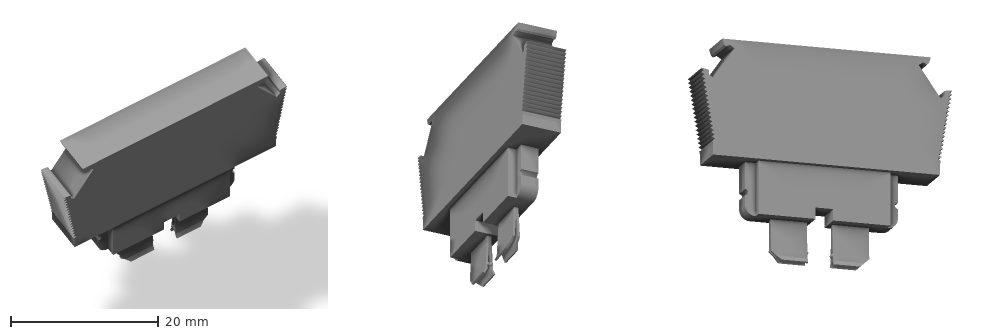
import cadquery as cq
import math


head_width = 5.8
head_top = 16.52
head_base_half = 16.25
lip_corner_half = 14.95
lip_knee = (14.65, 15.7)
lip_toe = (14.4, 15.45)
lip_step = (13.85, 15.75)
lip_root = (13.18, 15.3)
shoulder_foot = (16.3, 10.87)
horn_inner_half = 16.85
horn_inner_low = 11.35
horn_inner_high = 11.9
horn_shoulder = (17.1, 12.02)
horn_crown = (17.9, 12.15)
horn_tip = (18.0, 12.02)

tooth_count = 17
tooth_pitch = 0.598
tooth_lean = 0.1
first_tooth = (17.95, 11.52)
tooth_rise = 0.32
tooth_depth = 0.4
grip_foot = 1.5

stem_half_length = 10.95
stem_height = 7.52
stem_half_thickness = 1.95
stem_split_x = 0.7
stem_corner_radius = 1.5
short_slab_half_length = stem_half_length - stem_corner_radius
latch_groove_radius = 0.45
latch_groove_z = -4.25
slot_width = 2.52
slot_height = 1.62

contact_x = -0.45
contact_half_thickness = 0.32
leaf_thickness = 0.305
prong_outer_y = 7.02
prong_inner_y = 1.85
prong_tip_z = -13.4
prong_chamfer_y = 1.55
prong_chamfer_z = 1.4
split_z = -7.85
flare_z = -12.6
flare_half_width = 0.58
flare_angle = math.radians(25)
bridge_bottom = -4.82
bridge_height = 1.45
bridge_top = bridge_bottom + bridge_height

bump_radius = 0.3
bump_z = -11.85
bump_inset = 0.07
bump_y = prong_inner_y + bump_inset


def mirrored_outline(half_points):
    """Close a right-half outline with its mirror image about Y = 0."""
    left = [(-y, z) for y, z in reversed(half_points)]
    return half_points + left


def extrude_along_x(points, x_start, x_end):
    """Extrude a (Y, Z) outline from x_start to x_end."""
    plane = cq.Workplane("YZ", origin=(x_start, 0, 0))
    return plane.polyline(points).close().extrude(x_end - x_start)


def grip_teeth():
    """Roots and tips of the teeth, from the top down."""
    points = []
    for index in range(tooth_count):
        tip_y = first_tooth[0] - index * tooth_lean
        tip_z = first_tooth[1] - index * tooth_pitch
        points.append((tip_y - tooth_depth, tip_z + tooth_rise))
        points.append((tip_y, tip_z))
    return points


def make_head():
    horn = [
        shoulder_foot,
        (horn_inner_half, horn_inner_low),
        (horn_inner_half, horn_inner_high),
        horn_shoulder,
        horn_crown,
        horn_tip,
    ]
    lip = [(lip_corner_half, head_top), lip_knee, lip_toe, lip_step, lip_root]
    base = [(head_base_half, grip_foot), (head_base_half, 0)]
    outline = mirrored_outline(lip + horn + grip_teeth() + base)
    return extrude_along_x(outline, -head_width / 2, head_width / 2)


def make_stem():
    long_thickness = stem_split_x + stem_half_thickness
    long_slab = (
        cq.Workplane("XY")
        .box(long_thickness, 2 * stem_half_length, stem_height, centered=(False, True, False))
        .translate((-stem_half_thickness, 0, -stem_height))
        .edges("|X and <Z")
        .fillet(stem_corner_radius)
    )
    latch_grooves = (
        cq.Workplane("YZ", origin=(-stem_half_thickness, 0, 0))
        .pushPoints([(side * stem_half_length, latch_groove_z) for side in (-1, 1)])
        .circle(latch_groove_radius)
        .extrude(long_thickness)
    )
    short_slab = (
        cq.Workplane("XY")
        .box(
            stem_half_thickness - stem_split_x,
            2 * short_slab_half_length,
            stem_height,
            centered=(False, True, False),
        )
        .translate((stem_split_x, 0, -stem_height))
    )
    slot = (
        cq.Workplane("XY")
        .box(2 * stem_half_thickness, slot_width, slot_height, centered=(True, True, False))
        .translate((0, 0, -stem_height))
    )
    return long_slab.cut(latch_grooves).union(short_slab).cut(slot)


def make_leaf(side):
    """One leaf on the given side of the contact's middle plane, running the full contact length."""
    flare_inner = flare_half_width - leaf_thickness
    tip_inner = flare_inner + (flare_z - prong_tip_z) * math.tan(flare_angle)
    tip_outer = tip_inner + leaf_thickness * math.cos(flare_angle)
    tip_outer_z = prong_tip_z + leaf_thickness * math.sin(flare_angle)
    points = [
        (0, bridge_top),
        (contact_half_thickness, bridge_top),
        (contact_half_thickness, split_z),
        (flare_half_width, flare_z),
        (tip_outer, tip_outer_z),
        (tip_inner, prong_tip_z),
        (flare_inner, flare_z),
        (0, split_z),
    ]
    placed = [(contact_x + side * x, z) for x, z in points]
    return (
        cq.Workplane("XZ")
        .polyline(placed)
        .close()
        .extrude(prong_outer_y, both=True)
    )


def make_contact():
    half_outline = [
        (prong_outer_y, bridge_top),
        (prong_outer_y, prong_tip_z + prong_chamfer_z),
        (prong_outer_y - prong_chamfer_y, prong_tip_z),
        (prong_inner_y, prong_tip_z),
        (prong_inner_y, bridge_bottom),
    ]
    outline = mirrored_outline(half_outline)
    link = extrude_along_x(outline, -head_width / 2, head_width / 2)
    contact = make_leaf(-1).union(make_leaf(1)).intersect(link)

    flare_inner = flare_half_width - leaf_thickness
    bump_offset = flare_inner * (bump_z - split_z) / (flare_z - split_z)
    for end in (-1, 1):
        for side in (-1, 1):
            centre = (contact_x + side * bump_offset, end * bump_y, bump_z)
            contact = contact.union(cq.Workplane("XY").sphere(bump_radius).translate(centre))
    return contact


contact = make_contact()
housing = make_head().union(make_stem()).cut(contact)

result = cq.Compound.makeCompound([housing.solids().val(), contact.solids().val()])